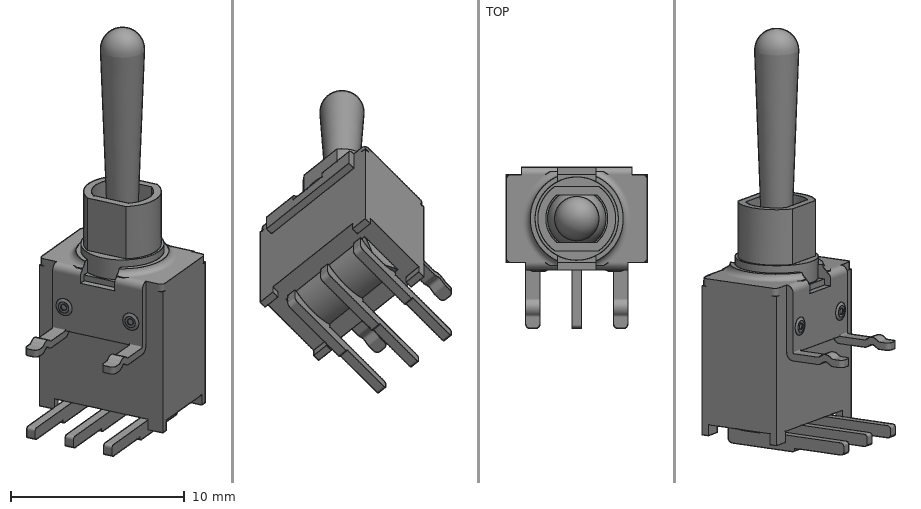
import cadquery as cq
import math


overall_height = 24.13
body_width = 8.13
body_depth = 5.07
plate_thickness = 0.45
sheet_thickness = 0.43
corner_radius = 0.3
body_front = -body_depth / 2
bracket_front = body_front - sheet_thickness
bracket_back = body_depth / 2 + sheet_thickness
tip_y = -6.32

recess_z = -8.65
foot_z = -9.3
foot_width = 1.0
foot_depth = 0.43

seal_height = 0.45
seal_length = 6.08
seal_width = 2.87

front_wall_width = 5.9
front_wall_bottom = -4.0
back_wall_width = 6.37
back_wall_bottom = -1.8
notch_width = 2.25
notch_bottom = -0.82

leg_width = 0.85
leg_bottom = front_wall_bottom - sheet_thickness
leg_tip_radius = 0.27
leg_root_radius = 0.07
crimp_y = -5.16
crimp_half_length = 0.43
crimp_rise = 0.22
crimp_groove_depth = 0.27
crimp_blend_radius = 0.22

dimple_x = 2.2
dimple_z = -2.53
dimple_base_radius = 0.53
dimple_top_radius = 0.34
dimple_hole_radius = 0.2
dimple_height = 0.07

neck_radius = 2.68
neck_base_radius = 3.11
neck_height = 0.35
neck_reach_y = 2.7
collar_diameter = 4.8
collar_top = 0.8
bushing_diameter = 4.5
bushing_flats = 3.72
bushing_top = 4.08
bore_diameter = 3.57
bore_flats = 2.73
bore_floor = collar_top

lever_top = 14.25
lever_tip_radius = 1.28
lever_base_radius = 0.82
pivot_radius = 1.7
pivot_z = 1.83

pin_pitch = 2.53
pin_width = 0.55
pin_bottom = lever_top - overall_height
pin_heel_y = 1.55
pin_riser_y = -1.5
pin_top = -8.93
pin_underside = -9.65
pin_heel_radius = 0.3
pin_step_radius = 0.15
pin_tip_radius = 0.2


def box(x_size, y_min, y_max, z_min, z_max):
    """Box centred on x = 0 between the given Y and Z limits."""
    return cq.Workplane("XY").box(x_size, y_max - y_min, z_max - z_min).translate(
        (0, (y_min + y_max) / 2, (z_min + z_max) / 2)
    )


def flatted_cylinder(diameter, flats, z_min, z_max):
    """Cylinder on the Z axis with two flats facing -Y and +Y."""
    cylinder = cq.Workplane("XY").workplane(offset=z_min).circle(diameter / 2).extrude(z_max - z_min)
    return cylinder.intersect(box(diameter, -flats / 2, flats / 2, z_min, z_max))


def along_x(profile, width, x_center=0.0):
    """Extrude a closed YZ profile to the given width about x_center."""
    return profile.extrude(width / 2, both=True).translate((x_center, 0, 0))


def make_housing():
    housing = box(body_width, body_front, -body_front, foot_z, -plate_thickness)
    lengthwise = box(body_width, body_front + foot_depth, -body_front - foot_depth, foot_z, recess_z)
    crosswise = box(body_width - 2 * foot_width, body_front, -body_front, foot_z, recess_z)
    return housing.cut(lengthwise).cut(crosswise)


def make_seal():
    """Arched bulge along X with quarter-round ends."""
    seal_bottom = recess_z - seal_height
    bulge = along_x(
        cq.Workplane("YZ")
        .moveTo(-seal_width / 2, recess_z)
        .threePointArc((0, seal_bottom), (seal_width / 2, recess_z))
        .close(),
        seal_length,
    )
    half_length = seal_length / 2
    flat_half_length = half_length - seal_height
    diagonal = seal_height * math.sqrt(0.5)
    rounded_ends = (
        cq.Workplane("XZ")
        .moveTo(-half_length, recess_z)
        .threePointArc((-flat_half_length - diagonal, recess_z - diagonal), (-flat_half_length, seal_bottom))
        .lineTo(flat_half_length, seal_bottom)
        .threePointArc((flat_half_length + diagonal, recess_z - diagonal), (half_length, recess_z))
        .close()
        .extrude(seal_width / 2, both=True)
    )
    return bulge.intersect(rounded_ends)


def make_wall(outer_y, width, bottom_z):
    """Bracket wall folded down from the top plate, with a rounded fold."""
    side = math.copysign(1, outer_y)
    inner_y = outer_y - side * sheet_thickness
    diagonal = sheet_thickness * math.sqrt(0.5)
    return along_x(
        cq.Workplane("YZ")
        .moveTo(inner_y, 0)
        .threePointArc(
            (inner_y + side * diagonal, diagonal - sheet_thickness),
            (outer_y, -sheet_thickness),
        )
        .lineTo(outer_y, bottom_z)
        .lineTo(inner_y, bottom_z)
        .close(),
        width,
    )


def make_leg(x_center):
    """Leg folded forward from the front wall, with a raised crimp near its tip."""
    top, bottom = front_wall_bottom, leg_bottom
    near, far = crimp_y + crimp_half_length, crimp_y - crimp_half_length
    diagonal = sheet_thickness * math.sqrt(0.5)
    leg = along_x(
        cq.Workplane("YZ")
        .moveTo(body_front, top + leg_root_radius)
        .lineTo(bracket_front, top + leg_root_radius)
        .radiusArc((bracket_front - leg_root_radius, top), leg_root_radius)
        .lineTo(near, top)
        .threePointArc((crimp_y, top + crimp_rise), (far, top))
        .lineTo(tip_y, top)
        .lineTo(tip_y, bottom)
        .lineTo(far, bottom)
        .lineTo(crimp_y, bottom + crimp_groove_depth)
        .lineTo(near, bottom)
        .lineTo(bracket_front, bottom)
        .threePointArc((bracket_front + diagonal, top - diagonal), (body_front, top))
        .close(),
        leg_width,
        x_center,
    )
    clearance = sheet_thickness / 10
    crimp_zone = cq.selectors.BoxSelector(
        (x_center - leg_width, far - clearance, bottom - clearance),
        (x_center + leg_width, near + clearance, top + clearance),
    )
    leg = leg.edges("|X").edges(crimp_zone).fillet(crimp_blend_radius)
    return leg.faces("<Y").edges("|Z").fillet(leg_tip_radius)


def make_dimple(x_center):
    dimple = (
        cq.Workplane("XZ")
        .moveTo(dimple_hole_radius, 0)
        .lineTo(dimple_base_radius, 0)
        .lineTo(dimple_top_radius, dimple_height)
        .lineTo(dimple_hole_radius, dimple_height)
        .close()
        .revolve(360, (0, 0, 0), (0, 1, 0))
    )
    return dimple.rotate((0, 0, 0), (1, 0, 0), 90).translate((x_center, bracket_front, dimple_z))


def make_neck():
    """Flare that rises from the bracket top with a hollow-curved side, cut flat at the wall folds."""
    run = neck_base_radius - neck_radius
    curve_radius = (run**2 + neck_height**2) / (2 * neck_height)
    half_angle = math.asin(run / curve_radius) / 2
    middle = (
        neck_base_radius - curve_radius * math.sin(half_angle),
        curve_radius * (1 - math.cos(half_angle)),
    )
    neck = (
        cq.Workplane("XZ")
        .moveTo(0, -sheet_thickness)
        .lineTo(neck_base_radius, -sheet_thickness)
        .lineTo(neck_base_radius, 0)
        .threePointArc(middle, (neck_radius, neck_height))
        .lineTo(0, neck_height)
        .close()
        .revolve(360, (0, 0, 0), (0, 1, 0))
    )
    return neck.intersect(box(body_width, -neck_reach_y, neck_reach_y, -sheet_thickness, neck_height))


def make_bracket():
    plate = box(body_width, body_front, -body_front, -plate_thickness, 0).edges("|Z").fillet(corner_radius)
    bracket = (
        plate.union(make_neck())
        .union(make_wall(bracket_front, front_wall_width, front_wall_bottom))
        .union(make_wall(bracket_back, back_wall_width, back_wall_bottom))
    )
    notch = box(notch_width, bracket_front, bracket_back, notch_bottom, neck_height)
    bracket = bracket.cut(notch)
    for side in (-1, 1):
        bracket = bracket.union(make_leg(side * (front_wall_width - leg_width) / 2))
        bracket = bracket.union(make_dimple(side * dimple_x))
    return bracket


def make_bushing():
    collar = (
        cq.Workplane("XY")
        .workplane(offset=-plate_thickness)
        .circle(collar_diameter / 2)
        .extrude(collar_top + plate_thickness)
    )
    barrel = flatted_cylinder(bushing_diameter, bushing_flats, collar_top, bushing_top)
    bore = flatted_cylinder(bore_diameter, bore_flats, bore_floor, bushing_top)
    return collar.union(barrel).cut(bore)


def make_lever():
    """Tapered handle with a round tip, standing on a ball pivot inside the bore."""
    tip_center = lever_top - lever_tip_radius
    handle = (
        cq.Workplane("XZ")
        .moveTo(0, bore_floor)
        .lineTo(lever_base_radius, bore_floor)
        .lineTo(lever_tip_radius, tip_center)
        .threePointArc(
            (lever_tip_radius * math.sqrt(0.5), tip_center + lever_tip_radius * math.sqrt(0.5)),
            (0, lever_top),
        )
        .close()
        .revolve(360, (0, 0, 0), (0, 1, 0))
    )
    ball = cq.Workplane("XY").sphere(pivot_radius).translate((0, 0, pivot_z))
    room = flatted_cylinder(bore_diameter, bore_flats, bore_floor, bushing_top)
    return handle.union(ball.intersect(room))


def make_pin(x_center):
    """Flat terminal that leaves the recess and runs forward."""
    pin = along_x(
        cq.Workplane("YZ")
        .moveTo(pin_heel_y, recess_z)
        .lineTo(pin_heel_y, pin_bottom)
        .lineTo(bracket_front, pin_bottom)
        .lineTo(bracket_front, pin_underside)
        .lineTo(tip_y, pin_underside)
        .lineTo(tip_y, pin_top)
        .lineTo(pin_riser_y, pin_top)
        .lineTo(pin_riser_y, recess_z)
        .close(),
        pin_width,
        x_center,
    )
    pin = pin.faces("<Z").edges("|X and >Y").fillet(pin_heel_radius)
    pin = pin.faces("<Z").edges("|X and <Y").fillet(pin_step_radius)
    return pin.faces("<Y").edges("|X").fillet(pin_tip_radius)


result = make_housing().union(make_seal()).union(make_bracket()).union(make_bushing()).union(make_lever())
for pin_index in (-1, 0, 1):
    result = result.union(make_pin(pin_index * pin_pitch))